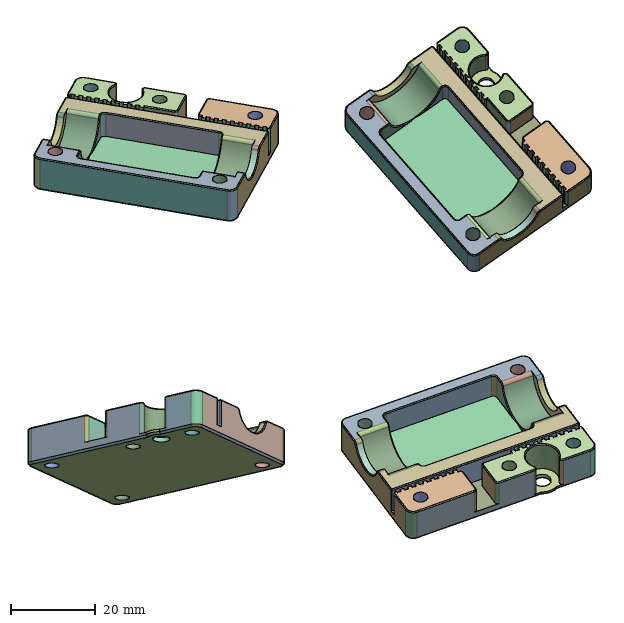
import cadquery as cq
import math

length = 50.0
width = 36.5
height = 9.0
corner_radius = 2.0
bottom_chamfer = 0.5
edge_chamfer = 0.25

lug_x = -12.0
lug_y = 33.0
lug_radius = 4.0
lug_height = 1.1
lug_hole_diameter = 4.1
recess_mouth_radius = 0.75

screw_hole_diameter = 3.4
left_screw_x = -20.5
right_screw_x = 20.0
front_screw_y = 4.0
back_screw_y = 32.5
extra_screw_x = -3.5

slot_front_y = 27.15
slot_back_y = 28.6
slot_floor_z = 2.2
channel_left_x = 2.0
channel_right_x = 7.0
channel_corner_radius = 0.75
tooth_pitch = 2.0
tooth_width = 1.0
tooth_depth = 0.6
tooth_tip_y = slot_back_y - tooth_depth
tooth_end_chamfer = 0.55
left_teeth_end_x = -6.2
right_teeth_start_x = 8.15

pocket_length = 29.9
pocket_front_y = 3.1
pocket_back_y = 23.2
pocket_floor_z = 2.4
rough_floor_z = 2.0
pocket_radius = 1.0
cradle_y = 14.1
cradle_axis_z = 10.0
cradle_radius = 7.5
cradle_length = 46.2
neck_radius = 5.5
lip_radius = 1.0

overshoot = 2.5
tolerance = 0.005


def box(x_min, x_max, y_min, y_max, z_min, z_max):
    """Box given by its limits along each axis."""
    size = (x_max - x_min, y_max - y_min, z_max - z_min)
    return cq.Workplane("XY").box(*size, centered=False).translate((x_min, y_min, z_min))


def cylinder(x, y, radius, z_min, z_max):
    """Upright cylinder between two levels."""
    return cq.Workplane("XY", origin=(x, y, z_min)).circle(radius).extrude(z_max - z_min)


def plate():
    """Rounded plate with the lug, chamfered along the underside."""
    block = box(-length / 2, length / 2, 0, width, 0, height).edges("|Z").fillet(corner_radius)
    lug = cylinder(lug_x, lug_y, lug_radius, 0, lug_height)
    return block.union(lug).faces("<Z").edges().chamfer(bottom_chamfer)


def lug_recess():
    """Round recess above the lug, opening to the back between two rounded corners."""
    mouth_dy = width - recess_mouth_radius - lug_y
    centre_distance = lug_radius + recess_mouth_radius
    mouth_dx = math.sqrt(centre_distance**2 - mouth_dy**2)
    touch_dx = mouth_dx * lug_radius / centre_distance
    touch_y = lug_y + mouth_dy * lug_radius / centre_distance
    mid_dx = mouth_dx - recess_mouth_radius
    mid_y = lug_y + mouth_dy
    back_y = width + overshoot
    return (
        cq.Workplane("XY", origin=(0, 0, lug_height))
        .moveTo(lug_x + touch_dx, touch_y)
        .threePointArc((lug_x, lug_y - lug_radius), (lug_x - touch_dx, touch_y))
        .threePointArc((lug_x - mid_dx, mid_y), (lug_x - mouth_dx, width))
        .lineTo(lug_x - mouth_dx, back_y)
        .lineTo(lug_x + mouth_dx, back_y)
        .lineTo(lug_x + mouth_dx, width)
        .threePointArc((lug_x + mid_dx, mid_y), (lug_x + touch_dx, touch_y))
        .close()
        .extrude(height)
    )


def lip_centre_offset(radius):
    """Distance in Y from the trough axis to the centre of either lip arc."""
    drop = cradle_axis_z - (height - lip_radius)
    return math.sqrt((radius + lip_radius) ** 2 - drop**2)


def trough(radius, span):
    """Round trough along X whose top edges roll outward with the lip radius."""
    lip_dy = lip_centre_offset(radius)
    lip_z = height - lip_radius
    tilt = math.atan2(cradle_axis_z - lip_z, lip_dy)
    touch_dy = radius * math.cos(tilt)
    touch_z = cradle_axis_z - radius * math.sin(tilt)
    mid_angle = (math.pi / 2 + tilt) / 2
    mid_dy = lip_dy - lip_radius * math.cos(mid_angle)
    mid_z = lip_z + lip_radius * math.sin(mid_angle)
    top_z = height + overshoot
    return (
        cq.Workplane("YZ", origin=(-span / 2, cradle_y, 0))
        .moveTo(touch_dy, touch_z)
        .threePointArc((0, cradle_axis_z - radius), (-touch_dy, touch_z))
        .threePointArc((-mid_dy, mid_z), (-lip_dy, height))
        .lineTo(-lip_dy, top_z)
        .lineTo(lip_dy, top_z)
        .lineTo(lip_dy, height)
        .threePointArc((mid_dy, mid_z), (touch_dy, touch_z))
        .close()
        .extrude(span)
    )


def pocket():
    """Rectangular pocket with rounded upright corners, cut down to the rough floor."""
    half = pocket_length / 2
    block = box(-half, half, pocket_front_y, pocket_back_y, rough_floor_z, height + overshoot)
    return block.edges("|Z").fillet(pocket_radius)


def pocket_floor():
    """Layer that raises the pocket to its final floor and buries the lowest part of the rim chamfers."""
    half = pocket_length / 2 + edge_chamfer
    front = pocket_front_y - edge_chamfer
    back = pocket_back_y + edge_chamfer
    return box(-half, half, front, back, bottom_chamfer, pocket_floor_z)


def slot_and_channel():
    """Slot across the full length, joined by a channel that runs out of the back."""
    reach = length / 2 + overshoot
    top = height + overshoot
    slot = box(-reach, reach, slot_front_y, slot_back_y, slot_floor_z, top)
    channel = box(channel_left_x, channel_right_x, slot_front_y, width + overshoot, slot_floor_z, top)
    return slot.union(channel)


def clamping_teeth():
    """Upright teeth on the back wall of the slot, ending flush with both plate ends."""
    half = length / 2
    left_count = math.ceil((half + left_teeth_end_x) / tooth_pitch)
    right_count = math.ceil((half - right_teeth_start_x) / tooth_pitch)
    starts = [left_teeth_end_x - tooth_width - i * tooth_pitch for i in range(left_count)]
    starts += [right_teeth_start_x + i * tooth_pitch for i in range(right_count)]
    teeth = cq.Workplane("XY")
    for start in starts:
        left = max(start, -half)
        right = min(start + tooth_width, half)
        teeth = teeth.add(box(left, right, tooth_tip_y, slot_back_y, slot_floor_z, height))
    return teeth.combine()


def screw_holes():
    """Through holes for the screws and the hole through the lug."""
    places = [(x, front_screw_y) for x in (left_screw_x, right_screw_x)]
    places += [(x, back_screw_y) for x in (left_screw_x, extra_screw_x, right_screw_x)]
    holes = cylinder(lug_x, lug_y, lug_hole_diameter / 2, -overshoot, height)
    for x, y in places:
        holes = holes.union(cylinder(x, y, screw_hole_diameter / 2, -overshoot, height + overshoot))
    return holes


def near(value, *targets):
    """True when the value lies on one of the targets."""
    return min(abs(value - target) for target in targets) < tolerance


def is_channel_corner(edge):
    """Upright edge where the channel meets the slot or the back face."""
    point = edge.Center()
    return near(point.x, channel_left_x, channel_right_x) and near(point.y, slot_back_y, width)


def is_end_tooth_corner(edge):
    """Upright outer edge of the tooth at either end of the plate."""
    point = edge.Center()
    return near(abs(point.x), length / 2) and near(point.y, tooth_tip_y)


def is_chamfered(edge):
    """Edge that carries the small chamfer."""
    bounds = edge.BoundingBox()
    point = edge.Center()
    on_top = near(bounds.zmin, height)
    on_end_face = near(bounds.xmin, length / 2) or near(bounds.xmax, -length / 2)

    cradle_reach = lip_centre_offset(cradle_radius) + tolerance
    if max(bounds.ymax - cradle_y, cradle_y - bounds.ymin) < cradle_reach:
        on_pocket_wall = near(abs(point.x), pocket_length / 2)
        return on_end_face or (on_pocket_wall and bounds.zmax > rough_floor_z + tolerance)

    if on_end_face and near(bounds.ymin, slot_front_y) and near(bounds.ymax, slot_front_y):
        return True

    in_tooth_row = bounds.ymin > slot_front_y + tolerance and bounds.ymax < slot_back_y + tolerance
    toothless = left_teeth_end_x < point.x < right_teeth_start_x
    return on_top and (on_end_face or toothless or not in_tooth_row)


body = plate().cut(slot_and_channel())
body = body.edges("|Z").filter(is_channel_corner).fillet(channel_corner_radius)
body = body.union(clamping_teeth())
body = body.edges("|Z").filter(is_end_tooth_corner).chamfer(tooth_end_chamfer)
body = body.cut(lug_recess())
body = body.cut(trough(neck_radius, length + overshoot))
body = body.cut(trough(cradle_radius, cradle_length))
body = body.cut(pocket())
body = body.edges().filter(is_chamfered).chamfer(edge_chamfer)
body = body.union(pocket_floor())
result = body.cut(screw_holes())